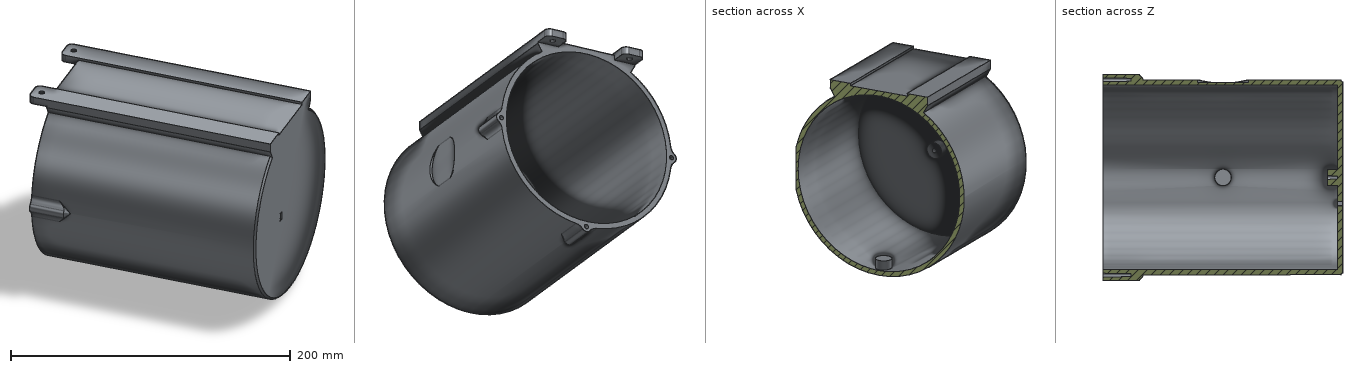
import cadquery as cq
import math

TOTAL_LENGTH = 186.0
TUBE_START = 14.0
OUTER_DIAMETER = 140.0
BORE_DIAMETER = 132.0
END_WALL = 4.0
END_CHAMFER = 1.5

RAIL_TOP = 72.0
RAIL_THICKNESS = 5.5
RAIL_OUTER_Y = 40.0
RAIL_WIDTH = 17.0
RAIL_CORNER_RADIUS = 8.0 / 2
RAIL_HOLE_DIAMETER = 4.0
RAIL_HOLE_INSET = 7.0
RAIL_HOLE_Y = 31.6
PAD_TOP = 70.1
PAD_LIP = 1.0
PAD_SIDE_ANGLE = 60.0

EAR_ANGLES = (0.0, 180.0, 270.0)
EAR_TIP_RADIUS = 8.0 / 2
EAR_BLEND_RADIUS = 17.0 / 2
EAR_LENGTH = 26.0
EAR_CONE_TIP_RADIUS = 0.1
EAR_HOLE_DEPTH = 20.0

PILOT_MOUTH_DIAMETER = 3.2
PILOT_FLOOR_DIAMETER = 2.6

POST_DIAMETER = 11.9
POST_HEIGHT = 7.0
WINDOW_WIDTH = 3.0
WINDOW_HEIGHT = 6.0
WINDOW_Y = -18.8
SIDE_RECESS_DIAMETER = 36.0
SIDE_RECESS_DEPTH = 1.9

OUTER_RADIUS = OUTER_DIAMETER / 2
BORE_RADIUS = BORE_DIAMETER / 2
TUBE_LENGTH = TOTAL_LENGTH - TUBE_START
TUBE_MIDDLE = TUBE_START + TUBE_LENGTH / 2
BORE_LENGTH = TUBE_LENGTH - END_WALL
END_WALL_INSIDE = TUBE_START + BORE_LENGTH


def section_at(x):
    """Plane across the tube: local x is Y, local y is Z, normal is +X."""
    return cq.Workplane("YZ", origin=(x, 0, 0))


def tube():
    body = section_at(TUBE_START).circle(OUTER_RADIUS).extrude(TUBE_LENGTH)
    return body.faces(">X").edges().chamfer(END_CHAMFER)


def pad():
    """Flat-topped block with undercut sides that carries the rails."""
    lip_z = RAIL_TOP - RAIL_THICKNESS - PAD_LIP
    base_z = BORE_RADIUS / 2
    inset = (lip_z - base_z) / math.tan(math.radians(PAD_SIDE_ANGLE))
    base_y = RAIL_OUTER_Y - inset
    outline = [
        (-RAIL_OUTER_Y, PAD_TOP),
        (RAIL_OUTER_Y, PAD_TOP),
        (RAIL_OUTER_Y, lip_z),
        (base_y, base_z),
        (-base_y, base_z),
        (-RAIL_OUTER_Y, lip_z),
    ]
    return section_at(TUBE_START).polyline(outline).close().extrude(TUBE_LENGTH)


def rail(side):
    """Rail with a rounded, drilled tongue; side is +1 or -1 along Y."""
    center_y = side * (RAIL_OUTER_Y - RAIL_WIDTH / 2)
    bar = (
        cq.Workplane("XY", origin=(TOTAL_LENGTH / 2, center_y, RAIL_TOP - RAIL_THICKNESS))
        .rect(TOTAL_LENGTH, RAIL_WIDTH)
        .extrude(RAIL_THICKNESS)
        .edges("|Z and <X")
        .fillet(RAIL_CORNER_RADIUS)
    )
    hole = (
        cq.Workplane("XY", origin=(RAIL_HOLE_INSET, side * RAIL_HOLE_Y, RAIL_TOP - RAIL_THICKNESS))
        .circle(RAIL_HOLE_DIAMETER / 2)
        .extrude(RAIL_THICKNESS)
    )
    return bar.cut(hole)


def ear():
    """Ear on the +Y side: round tip blended into the tube, tapered to a 45 degree cone."""
    blend_distance = OUTER_RADIUS + EAR_BLEND_RADIUS
    tip_distance = EAR_TIP_RADIUS + EAR_BLEND_RADIUS
    blend_y = (blend_distance**2 + OUTER_RADIUS**2 - tip_distance**2) / (2 * OUTER_RADIUS)
    blend_z = math.sqrt(blend_distance**2 - blend_y**2)
    foot_y = blend_y * OUTER_RADIUS / blend_distance
    foot_z = blend_z * OUTER_RADIUS / blend_distance
    tip_y = OUTER_RADIUS + (blend_y - OUTER_RADIUS) * EAR_TIP_RADIUS / tip_distance
    tip_z = blend_z * EAR_TIP_RADIUS / tip_distance
    chord_y = (foot_y + tip_y) / 2 - blend_y
    chord_z = (foot_z + tip_z) / 2 - blend_z
    reach = EAR_BLEND_RADIUS / math.hypot(chord_y, chord_z)
    mid_y = blend_y + chord_y * reach
    mid_z = blend_z + chord_z * reach
    root_y = (BORE_RADIUS + OUTER_RADIUS) / 2

    full_length = EAR_LENGTH + EAR_TIP_RADIUS
    prism = (
        section_at(TUBE_START)
        .moveTo(root_y, -foot_z)
        .lineTo(foot_y, -foot_z)
        .threePointArc((mid_y, -mid_z), (tip_y, -tip_z))
        .threePointArc((OUTER_RADIUS + EAR_TIP_RADIUS, 0), (tip_y, tip_z))
        .threePointArc((mid_y, mid_z), (foot_y, foot_z))
        .lineTo(root_y, foot_z)
        .close()
        .extrude(full_length)
    )
    cone_start = cq.Vector(TUBE_START, OUTER_RADIUS, 0)
    cone_height = full_length - EAR_CONE_TIP_RADIUS
    cone = cq.Solid.makeCone(
        full_length, EAR_CONE_TIP_RADIUS, cone_height, cone_start, cq.Vector(1, 0, 0)
    )
    return prism.intersect(cq.Workplane(cone))


def pilot_hole(x, y, depth):
    """Blind screw hole along +X from (x, y), narrowing evenly towards its floor."""
    cone = cq.Solid.makeCone(
        PILOT_MOUTH_DIAMETER / 2,
        PILOT_FLOOR_DIAMETER / 2,
        depth,
        cq.Vector(x, y, 0),
        cq.Vector(1, 0, 0),
    )
    return cq.Workplane(cone)


def around_axis(shape, angle):
    return shape.rotate((0, 0, 0), (1, 0, 0), angle)


def end_wall_post():
    """Drilled post standing on the inside of the end wall, on the tube axis."""
    post = section_at(END_WALL_INSIDE).circle(POST_DIAMETER / 2).extrude(-POST_HEIGHT)
    return post.cut(pilot_hole(END_WALL_INSIDE - POST_HEIGHT, 0, POST_HEIGHT))


def floor_post():
    """Post rising from the lowest line of the bore, rooted in the wall."""
    wall_middle = (BORE_RADIUS + OUTER_RADIUS) / 2
    return (
        cq.Workplane("XY", origin=(TUBE_MIDDLE, 0, -wall_middle))
        .circle(POST_DIAMETER / 2)
        .extrude(wall_middle - BORE_RADIUS + POST_HEIGHT)
    )


def window():
    return (
        section_at(END_WALL_INSIDE)
        .center(WINDOW_Y, 0)
        .rect(WINDOW_WIDTH, WINDOW_HEIGHT)
        .extrude(END_WALL)
    )


def side_recess():
    """Shallow flat-floored round recess in the outside of the +Y wall."""
    return (
        cq.Workplane("XZ", origin=(TUBE_MIDDLE, OUTER_RADIUS, 0))
        .circle(SIDE_RECESS_DIAMETER / 2)
        .extrude(SIDE_RECESS_DEPTH)
    )


ear_hole = pilot_hole(TUBE_START, OUTER_RADIUS, EAR_HOLE_DEPTH)

result = tube().union(pad())
for side in (1, -1):
    result = result.union(rail(side))
for angle in EAR_ANGLES:
    result = result.union(around_axis(ear(), angle))
    result = result.cut(around_axis(ear_hole, angle))

bore = section_at(TUBE_START).circle(BORE_RADIUS).extrude(BORE_LENGTH)
result = result.cut(bore).cut(window()).cut(side_recess())
result = result.union(end_wall_post()).union(floor_post())